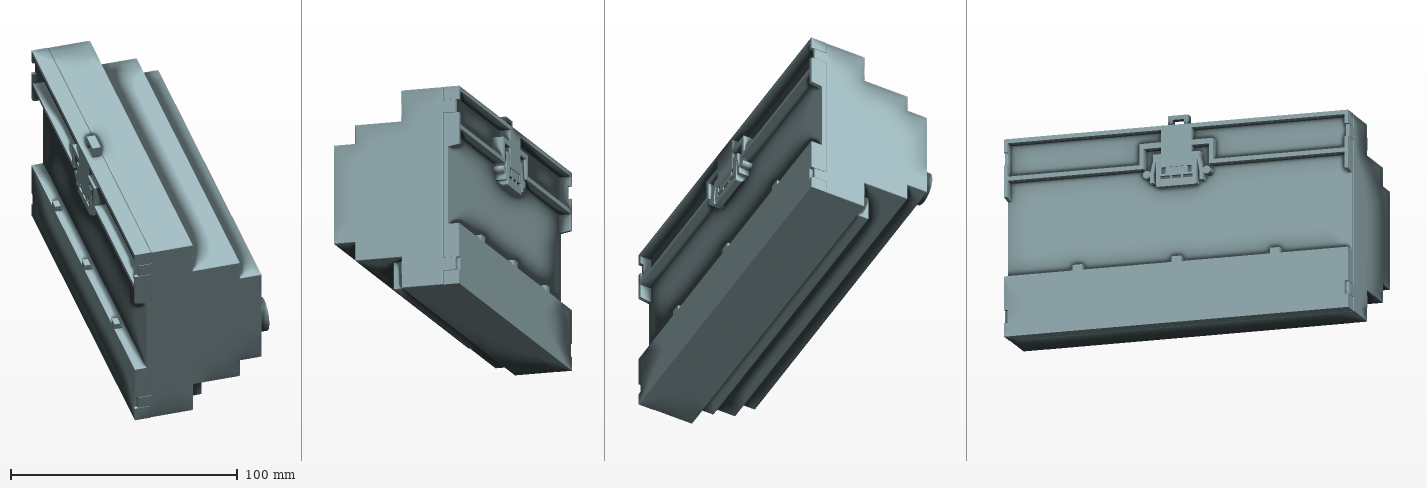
import cadquery as cq


length = 160.0
centre_x = length / 2
height = 90.0
shoulder_y = 26.7
middle_y = 48.3
middle_bottom = 14.0
middle_top = 76.0
panel_y = 58.2
panel_bottom = 22.5
panel_top = 67.5
edge_break = 0.24

terminal_end_gap = 8.0
terminal_y = 33.1
terminal_bottom = 1.8

knob_x = 147.8
knob_z = 36.5
knob_radius = 7.5
knob_y = 63.2

floor_y = 5.3
wall = 1.6
lip_top = 27.5
wall_bottom_front = 63.7
wall_bottom_back = 62.7
rim_thickness = 2.0
rim_bottom = height - rim_thickness

base_y = 7.5

tab_y = 1.6
tab_height = 6.0
lower_tab_bottom = 6.2
upper_tab_bottom = 78.0

bump_width = 4.5
bump_pitch = 46.0
bump_top = 30.0
bump_y = 2.7
bump_root_y = 3.7
bump_neck = 1.3

rib_bottom = 71.0
rib_top = 73.0
frame_half_outer = 17.1
frame_half_inner = 15.2
frame_top_outer = 82.5
frame_top_inner = 80.2

slider_half = 7.0
loop_top = 95.0
loop_half = 4.6
loop_bar = 2.0
loop_front = 2.9
loop_back = 6.7

clip_y = 0.3
clip_top = 77.3
clip_bottom = 62.4
clip_bottom_y = 3.2
clip_half = 9.5
clip_corner = 0.8
clip_shoulder_half = 10.9
leg_outer_half = 12.3
leg_inner_half = 10.7
leg_root_half = 9.8
leg_outer_root = 74.2
leg_inner_root = 73.6
leg_knee = 68.2
leg_bottom = 64.3
pocket_width = 2.0
pocket_bottom = 68.2
slot_width = 4.5
slot_pitch = 5.3
slot_bottom = 65.8
slot_top = 67.2
recess_depth = 1.6

peg_offset = 14.0
peg_z = 68.5
peg_radius = 1.8
peg_y = 0.5


def block(x0, x1, y0, y1, z0, z1):
    return cq.Workplane("XY").box(x1 - x0, y1 - y0, z1 - z0, centered=False).translate((x0, y0, z0))


def centred_block(half, y0, y1, z0, z1):
    return block(centre_x - half, centre_x + half, y0, y1, z0, z1)


def side_profile(points, x0, x1):
    """Extrude a (Y, Z) outline from x0 to x1."""
    return cq.Workplane("YZ").polyline(points).close().extrude(x1 - x0).translate((x0, 0, 0))


def rail_profile(points, y0, y1):
    """Extrude an outline of (offset from the centre, Z) points from y0 to y1."""
    return cq.Workplane("XZ").polyline(points).close().extrude(y0 - y1).translate((centre_x, y0, 0))


def mirrored(solid):
    return solid.union(solid.mirror("YZ", (centre_x, 0, 0)))


def make_tier(x_gap, y1, z0, z1):
    """One step of the housing, from the base to y1, chamfered all round."""
    tier = block(x_gap, length - x_gap, base_y, y1, z0, z1)
    return tier.edges().chamfer(edge_break)


def make_housing():
    rear_tier = make_tier(0, shoulder_y, 0, height)
    middle_tier = make_tier(0, middle_y, middle_bottom, middle_top)
    panel_tier = make_tier(0, panel_y, panel_bottom, panel_top)
    terminals = make_tier(terminal_end_gap, terminal_y, terminal_bottom, panel_bottom)
    return rear_tier.union(middle_tier).union(panel_tier).union(terminals)


def make_knob():
    disc = cq.Workplane("XZ").circle(knob_radius).extrude(panel_y - knob_y)
    return disc.translate((knob_x, panel_y, knob_z))


def make_base():
    floor = block(0, length, floor_y, base_y, 0, height)
    floor = floor.faces(">Y").edges().chamfer(edge_break)
    lip = block(0, length, 0, floor_y, 0, lip_top)
    rim = block(0, length, 0, floor_y, rim_bottom, height)
    wall_outline = [
        (0, wall_bottom_front),
        (floor_y, wall_bottom_back),
        (floor_y, rim_bottom),
        (0, rim_bottom),
    ]
    end_wall = side_profile(wall_outline, 0, wall)
    return floor.union(lip).union(rim).union(mirrored(end_wall))


def make_windows():
    """Cutters for the openings in the end walls that take the snap tabs."""
    windows = cq.Workplane("XY")
    for bottom in (lower_tab_bottom, upper_tab_bottom):
        windows = windows.add(block(0, wall, 0, base_y, bottom, bottom + tab_height))
    return mirrored(windows.combine())


def make_tabs():
    tabs = cq.Workplane("XY")
    for bottom in (lower_tab_bottom, upper_tab_bottom):
        tab = block(0, wall, tab_y, shoulder_y, bottom, bottom + tab_height)
        tabs = tabs.add(tab.faces("<X").edges("|Y").chamfer(edge_break))
    return mirrored(tabs.combine())


def make_bump(x):
    outline = [
        (0, lip_top),
        (bump_root_y, lip_top),
        (bump_y, lip_top + bump_neck),
        (bump_y, bump_top),
        (0, bump_top),
    ]
    return side_profile(outline, x - bump_width / 2, x + bump_width / 2)


def make_rib():
    rib = block(wall, centre_x - frame_half_inner, 0, floor_y, rib_bottom, rib_top)
    frame = centred_block(frame_half_outer, 0, floor_y, rib_bottom, frame_top_outer)
    opening = centred_block(frame_half_inner, 0, floor_y, rib_bottom, frame_top_inner)
    return mirrored(rib).union(frame.cut(opening))


def make_slider():
    plate = centred_block(slider_half, 0, floor_y, rib_bottom, rim_bottom)
    loop = centred_block(loop_half, loop_front, loop_back, rim_bottom, loop_top)
    hole = centred_block(loop_half - loop_bar, loop_front, loop_back, height, loop_top - loop_bar)
    return plate.union(loop.cut(hole))


def make_clip():
    body = centred_block(clip_half, clip_y, floor_y, clip_bottom, clip_top)
    body = body.edges("|Y and <Z").fillet(clip_corner)
    underside = [
        (clip_bottom_y, clip_bottom),
        (floor_y, clip_bottom),
        (floor_y, clip_bottom + floor_y - clip_bottom_y),
    ]
    body = body.cut(side_profile(underside, centre_x - clip_half, centre_x + clip_half))
    leg_outline = [
        (-clip_half, clip_top),
        (-clip_shoulder_half, clip_top),
        (-clip_shoulder_half, leg_outer_root),
        (-leg_outer_half, leg_knee),
        (-leg_outer_half, leg_bottom),
        (-leg_inner_half, leg_bottom),
        (-leg_inner_half, leg_knee),
        (-leg_root_half, leg_inner_root),
        (-clip_half, leg_inner_root),
    ]
    leg = rail_profile(leg_outline, clip_y, floor_y)
    return body.union(mirrored(leg))


def make_clip_recesses():
    back = clip_y + recess_depth
    pocket_x = centre_x - slider_half
    pocket = block(pocket_x, pocket_x + pocket_width, clip_y, back, pocket_bottom, rib_bottom)
    recesses = mirrored(pocket)
    for step in (-1, 0, 1):
        slot = centred_block(slot_width / 2, clip_y, back, slot_bottom, slot_top)
        recesses = recesses.union(slot.translate((step * slot_pitch, 0, 0)))
    return recesses


def make_pegs():
    peg = cq.Workplane("XZ").circle(peg_radius).extrude(peg_y - floor_y)
    return mirrored(peg.translate((centre_x - peg_offset, peg_y, peg_z)))


result = make_housing().union(make_knob())
result = result.union(make_base().cut(make_windows()))
result = result.union(make_tabs())
for step in (-1, 0, 1):
    result = result.union(make_bump(centre_x + step * bump_pitch))
result = result.union(make_rib()).union(make_slider())
result = result.union(make_clip()).union(make_pegs())
result = cq.Workplane(result.cut(make_clip_recesses()).solids().val())